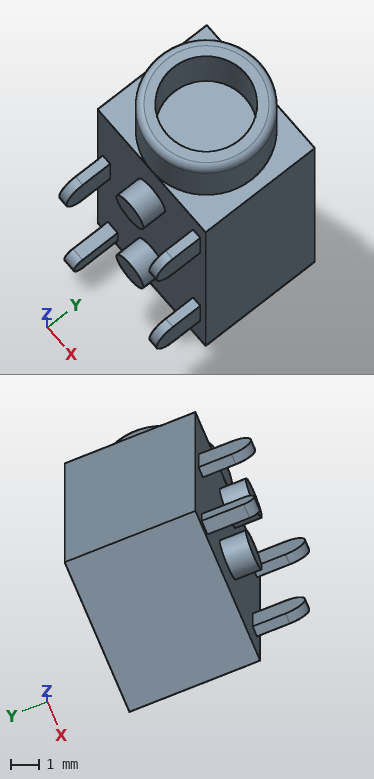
import cadquery as cq

overall_height = 14.0
body_width = 6.0
body_depth = 5.0
barrel_height = 2.5
body_height = overall_height - barrel_height

barrel_diameter = body_depth
barrel_rim_radius = 0.3
bore_diameter = 3.6
bore_depth = barrel_height

post_diameter = 1.5
post_length = 1.0
post_heights = (3.0, 9.0)

pin_length = 2.0
pin_thickness = 0.4
pin_width = 1.5
pin_offset = 2.5
small_pin_thickness = 0.55
small_pin_width = 0.8
small_pin_x = -2.15

pins = (
    (pin_offset, 9.58, pin_thickness, pin_width),
    (pin_offset, 2.7, pin_thickness, pin_width),
    (-pin_offset, 6.68, pin_thickness, pin_width),
    (small_pin_x, 0.91, small_pin_thickness, small_pin_width),
)

root_depth = 0.14


def make_housing():
    return cq.Workplane("XY").box(body_width, body_depth, body_height, centered=(True, False, False))


def make_barrel():
    barrel_base = cq.Workplane("XY", origin=(0, body_depth / 2, body_height))
    barrel = barrel_base.circle(barrel_diameter / 2).extrude(barrel_height)
    return barrel.faces(">Z").edges().fillet(barrel_rim_radius)


def make_bore():
    bore_top = cq.Workplane("XY", origin=(0, body_depth / 2, overall_height))
    return bore_top.circle(bore_diameter / 2).extrude(-bore_depth)


def make_post(z):
    root = cq.Workplane("XZ", origin=(0, root_depth, z))
    return root.circle(post_diameter / 2).extrude(post_length + root_depth)


def make_pin(x, z, thickness, width):
    half_width = width / 2
    round_start = -pin_length + half_width
    profile = (
        cq.Workplane("YZ", origin=(x - thickness / 2, 0, z))
        .moveTo(root_depth, -half_width)
        .lineTo(round_start, -half_width)
        .threePointArc((-pin_length, 0), (round_start, half_width))
        .lineTo(root_depth, half_width)
        .close()
    )
    return profile.extrude(thickness)


result = make_housing().union(make_barrel()).cut(make_bore())
for post_z in post_heights:
    result = result.union(make_post(post_z))
for pin in pins:
    result = result.union(make_pin(*pin))